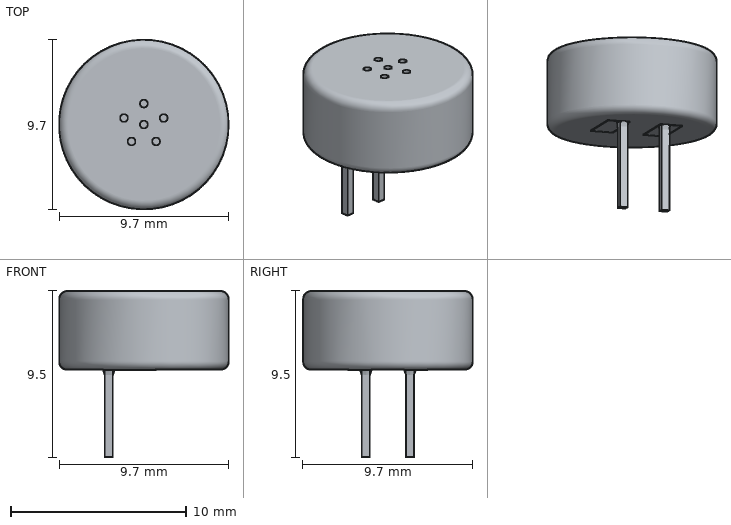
import cadquery as cq

can_diameter = 9.7
can_height = 4.5
top_flat_diameter = 8.72
top_edge_radius = (can_diameter - top_flat_diameter) / 2
base_edge_radius = 0.46

hole_diameter = 0.45
hole_ring_radius = 1.19
ring_hole_count = 5
first_hole_angle = 90.0
hole_depth = 0.26

pin_width = 0.47
pin_length = 5.0
pin_x = -2.0
pin_pitch = 2.52

solder_diameter = 0.68
solder_height = 0.3

pad_thickness = 0.04
pad_x_min = -2.28
pad_x_max = 0.68
pad_y_inner = 0.93
pad_y_outer = 2.25


def make_can():
    can = cq.Workplane("XY").circle(can_diameter / 2).extrude(can_height)
    can = can.faces(">Z").edges().fillet(top_edge_radius)
    return can.faces("<Z").edges().fillet(base_edge_radius)


def make_sound_holes():
    floor = cq.Workplane("XY").workplane(offset=can_height - hole_depth)
    center_hole = floor.circle(hole_diameter / 2).extrude(hole_depth)
    ring_holes = (
        floor.polarArray(hole_ring_radius, first_hole_angle, 360, ring_hole_count)
        .circle(hole_diameter / 2)
        .extrude(hole_depth)
    )
    return center_hole.union(ring_holes)


def make_pin(y):
    return cq.Workplane("XY").center(pin_x, y).rect(pin_width, pin_width).extrude(-pin_length)


def make_solder(y):
    return (
        cq.Workplane("XY")
        .center(pin_x, y)
        .circle(solder_diameter / 2)
        .workplane(offset=-solder_height)
        .rect(pin_width, pin_width)
        .loft(ruled=True)
    )


def make_pad(side):
    pad_length = pad_x_max - pad_x_min
    pad_width = pad_y_outer - pad_y_inner
    pad_center_x = (pad_x_min + pad_x_max) / 2
    pad_center_y = side * (pad_y_inner + pad_y_outer) / 2
    pad = cq.Workplane("XY").center(pad_center_x, pad_center_y)
    return pad.rect(pad_length, pad_width).extrude(-pad_thickness)


result = make_can().cut(make_sound_holes())
for side in (-1, 1):
    pin_y = side * pin_pitch / 2
    result = result.union(make_pad(side))
    result = result.union(make_solder(pin_y))
    result = result.union(make_pin(pin_y))